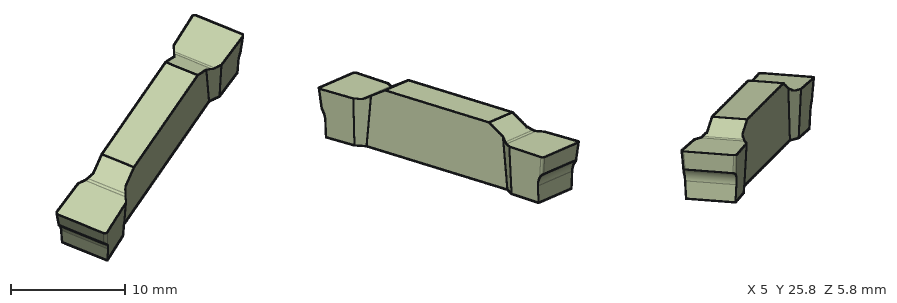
import cadquery as cq
import math

LENGTH = 25.8
WIDTH = 5.0
HEIGHT = 5.8
HEAD_HEIGHT = 4.51
BODY_WIDTH = 3.2

CREST_LENGTH = 11.91
RAMP_ANGLE = 30.0
RAMP_FILLET = 0.52

SIDE_RELIEF_ANGLE = 2.0
SIDE_DRAFT_ANGLE = 3.0
SHOULDER_Y = 8.92
NECK_ANGLE = 30.0
CORNER_RADIUS = 0.23

RAKE_ANGLE = 7.0
RAKE_BOTTOM = 2.8
FOOT_TOP = 1.62
FOOT_INSET = 0.72

OVERLAP = 0.77

half_length = LENGTH / 2
edge_width = WIDTH + 2 * CORNER_RADIUS * math.tan(math.radians(SIDE_RELIEF_ANGLE))
ramp_foot_y = CREST_LENGTH / 2 + (HEIGHT - HEAD_HEIGHT) / math.tan(math.radians(RAMP_ANGLE))


def rake_inset(depth):
    """Distance the end face recedes at a depth below the cutting edge."""
    return depth * math.tan(math.radians(RAKE_ANGLE))


def make_envelope():
    """Side outline with ramps and raked ends, extruded wider than the part."""
    bottom_y = half_length - rake_inset(HEAD_HEIGHT)
    half_outline = [
        (bottom_y, 0),
        (half_length, HEAD_HEIGHT),
        (ramp_foot_y, HEAD_HEIGHT),
        (CREST_LENGTH / 2, HEIGHT),
    ]
    mirrored = [(-y, z) for y, z in reversed(half_outline)]
    envelope = (
        cq.Workplane("YZ")
        .polyline(half_outline + mirrored)
        .close()
        .extrude(edge_width / 2 + OVERLAP, both=True)
    )
    ramp_feet = cq.selectors.BoxSelector(
        (-OVERLAP, -ramp_foot_y - RAMP_FILLET, HEAD_HEIGHT - RAMP_FILLET),
        (OVERLAP, ramp_foot_y + RAMP_FILLET, HEAD_HEIGHT + RAMP_FILLET),
    )
    return envelope.edges("|X").edges(ramp_feet).fillet(RAMP_FILLET)


def make_head(envelope):
    """Head at the +Y end, with drafted sides and rounded cutting corners."""
    relief = math.tan(math.radians(SIDE_RELIEF_ANGLE))
    neck_steepness = 1 / math.tan(math.radians(NECK_ANGLE))
    growth = (HEIGHT - HEAD_HEIGHT) * math.tan(math.radians(SIDE_DRAFT_ANGLE))
    edge_x = edge_width / 2 + growth / math.cos(math.radians(SIDE_RELIEF_ANGLE))
    shoulder_half_turn = math.radians((NECK_ANGLE - SIDE_RELIEF_ANGLE) / 2)
    shoulder_y = SHOULDER_Y - growth * math.tan(shoulder_half_turn)
    shoulder_x = edge_x - (half_length - shoulder_y) * relief
    outer_y = half_length + OVERLAP
    outer_x = edge_x + OVERLAP * relief
    inner_x = BODY_WIDTH / 2 - OVERLAP
    inner_y = shoulder_y - (shoulder_x - inner_x) * neck_steepness
    blank = (
        cq.Workplane("XY")
        .workplane(offset=HEIGHT)
        .polyline([
            (inner_x, inner_y),
            (shoulder_x, shoulder_y),
            (outer_x, outer_y),
            (-outer_x, outer_y),
            (-shoulder_x, shoulder_y),
            (-inner_x, inner_y),
        ])
        .close()
        .extrude(-HEIGHT, taper=SIDE_DRAFT_ANGLE)
    )
    head = blank.intersect(envelope)
    return head.faces(">Y").edges("not |X").fillet(CORNER_RADIUS)


def make_undercut():
    """Cutter for the vertical foot and the concave arc above it, at the +Y end."""
    foot_y = half_length - FOOT_INSET
    rake_y = half_length - rake_inset(HEAD_HEIGHT - RAKE_BOTTOM)
    outer_y = half_length + OVERLAP
    return (
        cq.Workplane("YZ")
        .moveTo(foot_y, -OVERLAP)
        .lineTo(foot_y, FOOT_TOP)
        .tangentArcPoint((rake_y, RAKE_BOTTOM), relative=False)
        .lineTo(outer_y, RAKE_BOTTOM)
        .lineTo(outer_y, -OVERLAP)
        .close()
        .extrude(edge_width, both=True)
    )


envelope = make_envelope()
body = cq.Workplane("XY").box(
    BODY_WIDTH, 2 * SHOULDER_Y, HEIGHT, centered=(True, True, False)
).intersect(envelope)

head = make_head(envelope).cut(make_undercut())
result = body.union(head).union(head.mirror("XZ"))